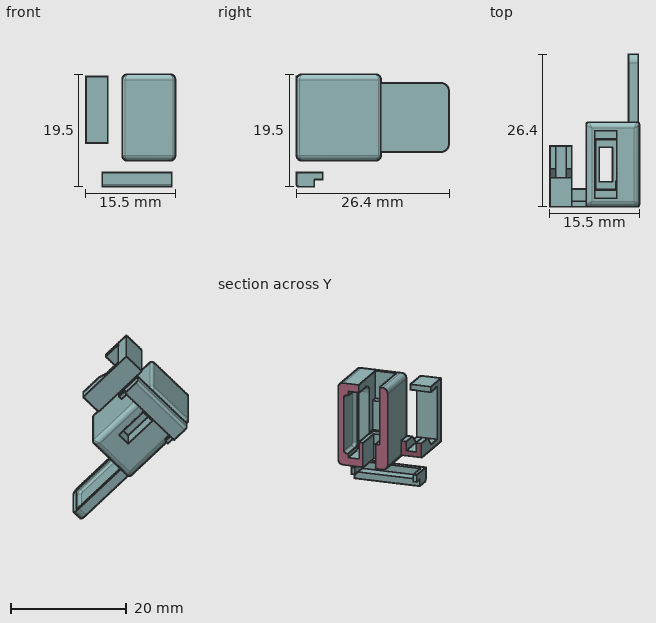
import cadquery as cq


housing_width = 9.25
housing_depth = 14.65
housing_height = 15.0
rim_radius = 1.0
edge_radius = 0.5

wall = 1.5
well_width = 3.85
well_length = housing_depth - 2 * wall
shelf_z = 10.0
shelf_length = 1.35
floor_z = 4.5
floor_chamfer = 0.2
window_width = 2.25
window_length = 5.9
well_x = wall
well_end_x = well_x + well_width
well_centre_x = well_x + well_width / 2
housing_centre_y = housing_depth / 2

tongue_reach = 11.75
tongue_inset = 10.25
tongue_height = 12.0
tongue_thickness = 1.75
tongue_radius = 1.45
tongue_back_gap = 0.2
tray_rim = 0.72
tray_depth = 0.8
tray_floor_radius = 0.5
tongue_back_x = housing_width - tongue_back_gap
tongue_face_x = tongue_back_x - tongue_thickness
tongue_length = tongue_reach + tongue_inset
tongue_start_y = housing_depth - tongue_inset
tongue_centre_y = tongue_start_y + tongue_length / 2
tongue_centre_z = housing_height / 2

clip_width = 3.8
clip_height = 11.55
clip_gap = 2.45
clip_bottom_z = 3.05
clip_back = 2.0
prong_thickness = 1.0
upper_prong_length = 5.05
lower_prong_length = 10.55
cheek_thickness = 1.0
cheek_height = 2.65
cheek_foot_y = 4.9
cheek_crest_y = 6.6
clip_x = -clip_gap - clip_width

latch_x = -3.45
latch_width = 12.05
latch_height = 2.5
latch_top_z = -2.0
latch_front_wall = 1.0
latch_base_depth = 3.1
latch_base_height = 1.25
latch_arm_length = 4.6
latch_arm_width = 0.65
latch_edge_radius = 0.5
latch_bottom_z = latch_top_z - latch_height


def box(x, y, z, width, depth, height):
    """Box with its lowest corner at (x, y, z)."""
    return cq.Workplane("XY").box(width, depth, height, centered=False).translate((x, y, z))


def tongue_slab(start_x, thickness, inset=0.0):
    """Upright slab with the tongue's rounded outline, drawn in by the inset."""
    return (
        cq.Workplane("YZ", origin=(start_x, tongue_centre_y, tongue_centre_z))
        .rect(tongue_length - 2 * inset, tongue_height - 2 * inset)
        .extrude(thickness)
        .edges("|X")
        .fillet(tongue_radius - inset)
    )


def housing_block():
    """Rounded block; the upright rounding fades out along the mitred corners."""
    block = box(0, 0, 0, housing_width, housing_depth, housing_height)
    block = block.faces("<Z or >Z").edges().fillet(rim_radius)
    return block.edges("|Z").fillet(edge_radius)


def well_section(bottom_z, length):
    """Cutter for the well, open upward from the given level."""
    return box(
        well_x, housing_centre_y - length / 2, bottom_z,
        well_width, length, housing_height - bottom_z,
    )


def is_floor_corner(edge):
    """True for a well floor edge with a wall above it, not at the compartment opening."""
    centre = edge.Center()
    at_opening = abs(centre.x - well_end_x) < floor_chamfer and centre.y > tongue_start_y
    return not at_opening


def make_housing():
    lower_length = well_length - 2 * shelf_length
    body = housing_block()
    body = body.cut(well_section(shelf_z, well_length))
    body = body.cut(well_section(floor_z, lower_length))

    body = body.cut(tongue_slab(well_end_x, tongue_face_x - well_end_x))

    floor_point = (well_centre_x, housing_centre_y, floor_z)
    floor_face = body.faces("|Z").faces(cq.selectors.NearestToPointSelector(floor_point))
    body = body.newObject(floor_face.edges().filter(is_floor_corner).vals()).chamfer(floor_chamfer)

    window = box(
        well_centre_x - window_width / 2, housing_centre_y - window_length / 2, 0,
        window_width, window_length, housing_height,
    )
    body = body.cut(window)

    tray = tongue_slab(tongue_face_x, tray_depth, tray_rim).faces(">X").edges().fillet(tray_floor_radius)
    return body.union(tongue_slab(tongue_face_x, tongue_thickness)).cut(tray)


def make_clip():
    clip_top_z = clip_bottom_z + clip_height
    prong_top_z = clip_bottom_z + prong_thickness
    cheek_top_z = clip_bottom_z + cheek_height
    profile = [
        (0, clip_bottom_z),
        (lower_prong_length, clip_bottom_z),
        (lower_prong_length, cheek_top_z),
        (cheek_crest_y, cheek_top_z),
        (cheek_foot_y, prong_top_z),
        (clip_back, prong_top_z),
        (clip_back, clip_top_z - prong_thickness),
        (upper_prong_length, clip_top_z - prong_thickness),
        (upper_prong_length, clip_top_z),
        (0, clip_top_z),
    ]
    body = cq.Workplane("YZ", origin=(clip_x, 0, 0)).polyline(profile).close().extrude(clip_width)

    groove = box(
        clip_x + cheek_thickness, cheek_foot_y, prong_top_z,
        clip_width - 2 * cheek_thickness, lower_prong_length - cheek_foot_y, cheek_height,
    )
    return body.cut(groove)


def make_latch():
    shoulder_z = latch_bottom_z + latch_base_height
    upper_height = latch_height - latch_base_height
    base = box(latch_x, 0, latch_bottom_z, latch_width, latch_base_depth, latch_base_height)
    front_wall = box(latch_x, 0, shoulder_z, latch_width, latch_front_wall, upper_height)
    body = base.union(front_wall)
    for arm_x in (latch_x, latch_x + latch_width - latch_arm_width):
        body = body.union(box(arm_x, 0, shoulder_z, latch_arm_width, latch_arm_length, upper_height))
    return body.clean().faces("<Z").edges("<Y").fillet(latch_edge_radius)


housing = make_housing()
clip = make_clip()
latch = make_latch()

result = cq.Compound.makeCompound([housing.val(), clip.val(), latch.val()])